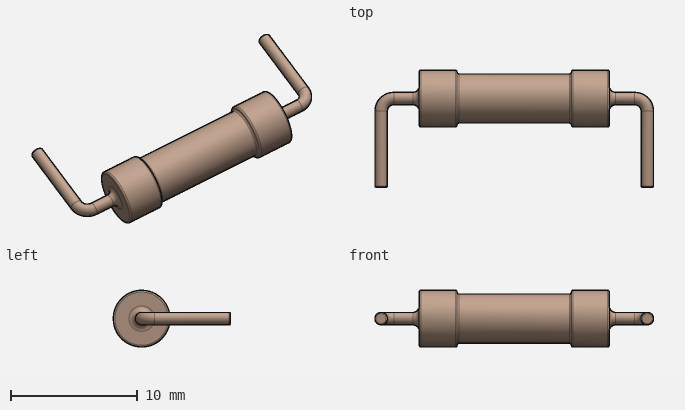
import cadquery as cq

body_length = 15.0
cap_diameter = 4.5
cap_length = 3.0
core_diameter = 3.9

lead_diameter = 1.0
lead_pitch = 21.0
lead_drop = 7.0
bend_radius = 1.0
lead_root_fillet = 0.5
lead_tip_fillet = 0.1

cap_radius = cap_diameter / 2
core_radius = core_diameter / 2
lead_radius = lead_diameter / 2
body_end = body_length / 2
cap_inner = body_end - cap_length
lead_x = lead_pitch / 2

cap_fillet = (cap_radius - core_radius) / 2
core_half_length = cap_inner - cap_fillet


def make_core():
    """Plain cylinder between the two core fillets."""
    core_start = cq.Workplane("YZ", origin=(-core_half_length, 0, 0))
    return core_start.circle(core_radius).extrude(2 * core_half_length)


def make_cap():
    """+X cap: core fillet, rounded rims and the flare into the lead."""
    cap_flat_start = cap_inner + cap_fillet
    cap_flat_end = body_end - cap_fillet
    cap_face_radius = cap_radius - cap_fillet
    flare_end = body_end + lead_root_fillet
    return (
        cq.Workplane("XY")
        .moveTo(core_half_length, 0)
        .lineTo(core_half_length, core_radius)
        .radiusArc((cap_inner, cap_face_radius), -cap_fillet)
        .tangentArcPoint((cap_flat_start, cap_radius), relative=False)
        .lineTo(cap_flat_end, cap_radius)
        .tangentArcPoint((body_end, cap_face_radius), relative=False)
        .lineTo(body_end, lead_radius + lead_root_fillet)
        .tangentArcPoint((flare_end, lead_radius), relative=False)
        .lineTo(flare_end, 0)
        .close()
        .revolve(360, (0, 0, 0), (1, 0, 0))
    )


def make_lead():
    """Wire leaving the +X end of the body and bending toward -Y."""
    path = (
        cq.Workplane("XY")
        .moveTo(cap_inner, 0)
        .lineTo(lead_x - bend_radius, 0)
        .tangentArcPoint((lead_x, -bend_radius), relative=False)
        .lineTo(lead_x, -lead_drop)
    )
    wire = cq.Workplane("YZ", origin=(cap_inner, 0, 0)).circle(lead_radius).sweep(path)
    return wire.faces("<Y").edges().fillet(lead_tip_fillet)


cap_and_lead = make_cap().union(make_lead())
result = make_core().union(cap_and_lead).union(cap_and_lead.mirror("YZ"))